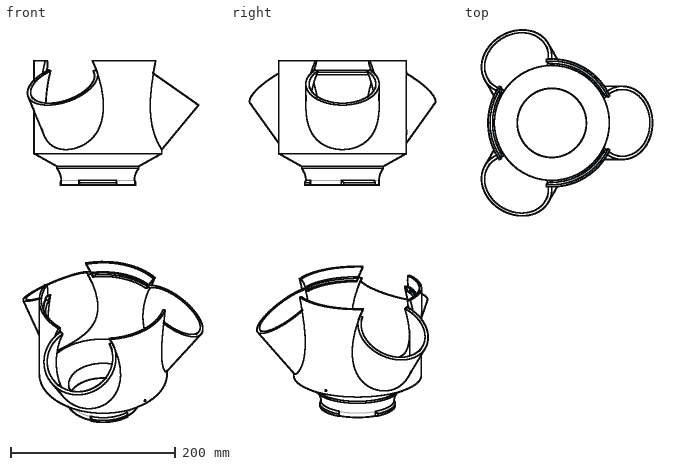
import cadquery as cq
import math

TOTAL_HEIGHT = 152.0
NECK_BAND_BOTTOM = 20.5
CONE_BOTTOM = 23.0
CONE_TOP = 38.5
LUG_TOP = 6.1
LUG_RIM_TOP = 3.0

BODY_RADIUS = 156.0 / 2
BORE_RADIUS = 140.0 / 2
NECK_TOP_RADIUS = 100 / 2
HOLE_RADIUS = 84 / 2
NECK_RADIUS = 44.7
LUG_RADIUS = 46.0

SOCKET_LIP_RADIUS = 75.5
SOCKET_THROAT_RADIUS = 72.5
GROOVE_RADIUS = 73.8
THROAT_HEIGHT = 140.3
GROOVE_TOP = 137.5
LEDGE_HEIGHT = 134.9

TUBE_COUNT = 3
TUBE_STEP = 360 / TUBE_COUNT
TUBE_RADIUS = 44.7
TUBE_WALL = 4.0
TUBE_SLOPE = 50.4
MOUTH_SLOPE = 35
MOUTH_TIP_X = 122.9
MOUTH_TIP_Z = 97.6
CUTTER_LENGTH = 272.5

LUG_SPAN = 60
LUG_RAMP_ANGLE = 1.8

PIN_HOLE_DIAMETER = 1.8
PIN_HOLE_Z = 43.4


def flare_middle(rise, spread):
    """Radial and axial offsets to the middle of an arc that starts vertical."""
    arc_radius = (rise ** 2 + spread ** 2) / (2 * spread)
    half_angle = math.asin(rise / arc_radius) / 2
    return arc_radius * (1 - math.cos(half_angle)), arc_radius * math.sin(half_angle)


def make_outer_body():
    """Neck, cone and cylinder as one solid of revolution, with no openings yet."""
    neck_out, neck_up = flare_middle(NECK_BAND_BOTTOM - LUG_TOP, NECK_TOP_RADIUS - NECK_RADIUS)
    flare_mid = (NECK_RADIUS + neck_out, LUG_TOP + neck_up)
    return (
        cq.Workplane("XZ")
        .lineTo(NECK_RADIUS, 0)
        .lineTo(NECK_RADIUS, LUG_TOP)
        .threePointArc(flare_mid, (NECK_TOP_RADIUS, NECK_BAND_BOTTOM))
        .lineTo(NECK_TOP_RADIUS, CONE_BOTTOM)
        .lineTo(BODY_RADIUS, CONE_TOP)
        .lineTo(BODY_RADIUS, TOTAL_HEIGHT)
        .lineTo(0, TOTAL_HEIGHT)
        .close()
        .revolve(360, (0, 0, 0), (0, 1, 0))
    )


def make_socket():
    """Space of the flared socket and its locking groove above the bore."""
    lip_out, lip_up = flare_middle(TOTAL_HEIGHT - THROAT_HEIGHT, SOCKET_LIP_RADIUS - SOCKET_THROAT_RADIUS)
    flare_mid = (SOCKET_THROAT_RADIUS + lip_out, THROAT_HEIGHT + lip_up)
    return (
        cq.Workplane("XZ")
        .moveTo(0, LEDGE_HEIGHT)
        .lineTo(GROOVE_RADIUS, LEDGE_HEIGHT)
        .lineTo(GROOVE_RADIUS, GROOVE_TOP)
        .lineTo(SOCKET_THROAT_RADIUS, THROAT_HEIGHT)
        .threePointArc(flare_mid, (SOCKET_LIP_RADIUS, TOTAL_HEIGHT))
        .lineTo(0, TOTAL_HEIGHT)
        .close()
        .revolve(360, (0, 0, 0), (0, 1, 0))
    )


def make_bore():
    """Space of the neck hole, the inner cone and the main bore."""
    return (
        cq.Workplane("XZ")
        .lineTo(HOLE_RADIUS, 0)
        .lineTo(HOLE_RADIUS, CONE_BOTTOM)
        .lineTo(BORE_RADIUS, CONE_TOP)
        .lineTo(BORE_RADIUS, TOTAL_HEIGHT)
        .lineTo(0, TOTAL_HEIGHT)
        .close()
        .revolve(360, (0, 0, 0), (0, 1, 0))
    )


def tube_rod(radius):
    """Solid rod along the axis of the tube that leans toward +X."""
    slope = math.radians(TUBE_SLOPE)
    axis_x = MOUTH_TIP_X - TUBE_RADIUS * math.sin(slope)
    axis_z = MOUTH_TIP_Z + TUBE_RADIUS * math.cos(slope)
    direction = cq.Vector(math.cos(slope), 0, math.sin(slope))
    start = cq.Vector(axis_x, 0, axis_z) - direction * (CUTTER_LENGTH / 2)
    return cq.Workplane(cq.Solid.makeCylinder(radius, CUTTER_LENGTH, start, direction))


def below_mouth():
    """Wedge under the sloping mouth plane, above the cone and outboard of the body axis."""
    drop = math.tan(math.radians(MOUTH_SLOPE))
    return (
        cq.Workplane("XZ")
        .moveTo(0, CONE_TOP)
        .lineTo(MOUTH_TIP_X + (MOUTH_TIP_Z - CONE_TOP) / drop, CONE_TOP)
        .lineTo(0, MOUTH_TIP_Z + MOUTH_TIP_X * drop)
        .close()
        .extrude(CUTTER_LENGTH, both=True)
    )


def around_axis(shape, index):
    return shape.rotate((0, 0, 0), (0, 0, 1), index * TUBE_STEP)


def make_lug():
    """Locking lug with a chamfered upper edge and a ramp at its starting end."""
    root_radius = (HOLE_RADIUS + NECK_RADIUS) / 2
    swept = (
        cq.Workplane("XZ")
        .moveTo(root_radius, 0)
        .lineTo(LUG_RADIUS, 0)
        .lineTo(LUG_RADIUS, LUG_RIM_TOP)
        .lineTo(NECK_RADIUS, LUG_TOP)
        .lineTo(root_radius, LUG_TOP)
        .close()
        .revolve(LUG_SPAN + LUG_RAMP_ANGLE, (0, 0, 0), (0, 1, 0))
        .rotate((0, 0, 0), (0, 0, 1), -LUG_RAMP_ANGLE)
    )
    ramp_start = math.radians(-LUG_RAMP_ANGLE)
    ramp_end = math.radians(LUG_RAMP_ANGLE)
    foot = (NECK_RADIUS * math.cos(ramp_start), NECK_RADIUS * math.sin(ramp_start))
    crest = (LUG_RADIUS * math.cos(ramp_end), LUG_RADIUS * math.sin(ramp_end))
    ramp_waste = (
        cq.Workplane("XY")
        .polyline([foot, crest, (BODY_RADIUS, crest[1]), (BODY_RADIUS, -BODY_RADIUS)])
        .close()
        .extrude(LUG_TOP)
    )
    return swept.cut(ramp_waste)


cutter_zone = (
    cq.Workplane("XY", origin=(0, 0, CONE_TOP))
    .box(CUTTER_LENGTH, CUTTER_LENGTH, CUTTER_LENGTH, centered=(False, True, False))
)
tube_clearance = tube_rod(TUBE_RADIUS).intersect(cutter_zone)
tube = tube_rod(TUBE_RADIUS).intersect(below_mouth())
tube_bore = tube_rod(TUBE_RADIUS - TUBE_WALL).intersect(cutter_zone)
lug = make_lug()

body = make_outer_body().cut(make_socket())
for index in range(TUBE_COUNT):
    body = body.cut(around_axis(tube_clearance, index))
    body = body.union(around_axis(tube, index))
    body = body.union(around_axis(lug, index))
body = body.cut(make_bore())
for index in range(TUBE_COUNT):
    body = body.cut(around_axis(tube_bore, index))

pin_hole = (
    cq.Workplane("YZ", origin=(-BODY_RADIUS - TUBE_WALL, 0, PIN_HOLE_Z))
    .circle(PIN_HOLE_DIAMETER / 2)
    .extrude(BODY_RADIUS)
)
result = body.cut(pin_hole)